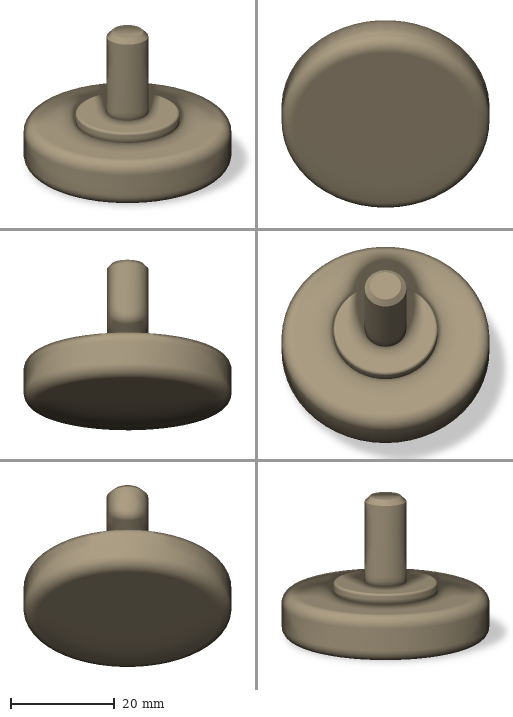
import cadquery as cq

disc_diameter = 40.0
disc_height = 9.0
disc_edge_radius = disc_height / 4

collar_diameter = disc_diameter / 2
collar_height = 2.0
collar_edge_radius = collar_height / 4

stud_diameter = 8.0
stud_length = 17.0
stud_chamfer = 1.0

disc = cq.Workplane("XY").circle(disc_diameter / 2).extrude(disc_height)
disc = disc.edges("%CIRCLE").fillet(disc_edge_radius)

collar = (
    cq.Workplane("XY")
    .workplane(offset=disc_height)
    .circle(collar_diameter / 2)
    .extrude(collar_height)
    .faces(">Z")
    .edges()
    .fillet(collar_edge_radius)
)

stud = (
    cq.Workplane("XY")
    .workplane(offset=disc_height + collar_height)
    .circle(stud_diameter / 2)
    .extrude(stud_length)
    .faces(">Z")
    .edges()
    .chamfer(stud_chamfer)
)

result = disc.union(collar).union(stud)